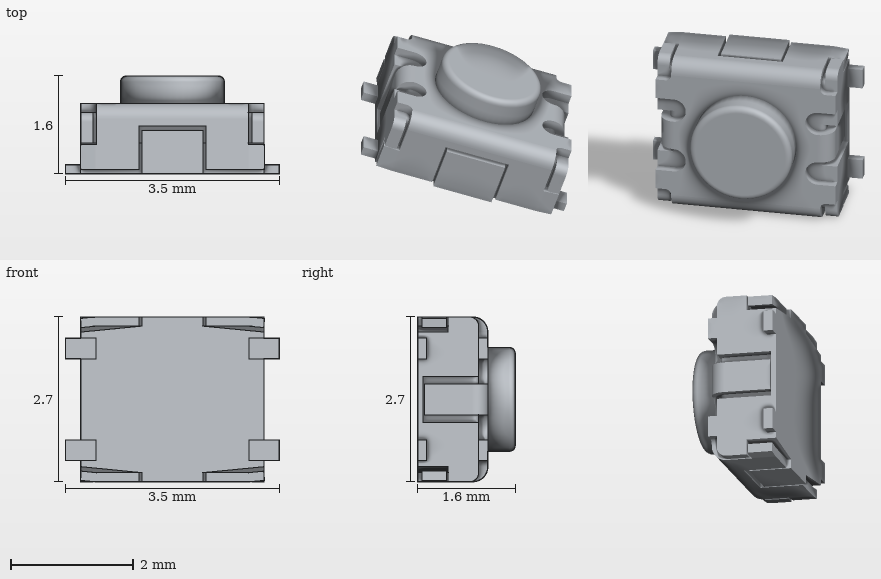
import cadquery as cq
import math

SIDES = (-1, 1)

half_length = 1.5
full_width = 2.7
half_width = full_width / 2
base_height = 1.0

sheet = 0.15
inner_bend = 0.098
outer_bend = inner_bend + sheet
plate_top = base_height + sheet
bend_y = base_height - inner_bend

flange_half_length = 1.242
flange_bottom = 0.07
flange_inner_z = half_width - sheet
flange_bend_z = half_width - outer_bend
window_half_length = 0.545
window_top = 0.785

ear_slope = 0.1
ear_angle = math.atan(ear_slope)
ear_top = 0.475
ear_length = 0.24

wing_inner_z = 0.66
wing_outer_z = 1.0
wing_corner_radius = flange_bend_z - wing_outer_z
tab_half_width = 0.252
tab_inset = 0.05
tab_face_x = half_length - tab_inset
tab_bottom = 0.115
tab_bend_x = tab_face_x - outer_bend
relief_radius = (wing_inner_z - tab_half_width) / 2

corner_ledge_y = 0.5
corner_inner_x = 1.3
corner_round = 0.15
lug_half_length = 0.5
lug_top = 0.707
recess_half_width = 0.375
recess_bottom = 0.09
recess_floor_x = tab_face_x - sheet

button_radius = 0.85
button_top = 1.6
button_round = 0.098

terminal_end_x = 1.75
terminal_length = 0.5
terminal_thickness = 0.15
terminal_inner_z = 0.66
terminal_width = 0.34


def block(x_min, x_max, y_min, y_max, z_min, z_max):
    """Rectangular block between the given limits."""
    size = (x_max - x_min, y_max - y_min, z_max - z_min)
    return cq.Workplane("XY").box(*size, centered=False).translate((x_min, y_min, z_min))


def centered_block(half_x, y_min, y_max, half_z):
    """Block symmetric about x = 0 and z = 0."""
    return block(-half_x, half_x, y_min, y_max, -half_z, half_z)


def upright(outline, y_min, y_max):
    """Extrude a closed outline drawn in (x, z) on the floor plane from y_min to y_max."""
    return outline.extrude(y_min - y_max).translate((0, y_min, 0))


def floor_plane():
    """XZ plane through the origin; its normal is -Y, so negative extrusions grow along +Y."""
    return cq.Workplane("XZ")


def mirrored_in_x(body):
    """The body together with its mirror image across x = 0."""
    return body.union(body.mirror("YZ"))


def mirrored_in_x_and_z(body):
    """The body together with its mirror images across x = 0 and z = 0."""
    both_ends = mirrored_in_x(body)
    return both_ends.union(both_ends.mirror("XY"))


def make_base():
    """Molded base with its terminal recesses still uncut."""
    quarter_taper = [
        (0, 0),
        (half_length, 0),
        (half_length, flange_bend_z),
        (lug_half_length, flange_inner_z),
        (0, flange_inner_z),
    ]
    taper = floor_plane().polyline(quarter_taper).close()
    base = mirrored_in_x_and_z(upright(taper, 0, corner_ledge_y))

    core = centered_block(corner_inner_x, corner_ledge_y, base_height, flange_inner_z)
    base = base.union(core.edges(">Y and |X").fillet(inner_bend))

    end_slab = block(corner_inner_x, half_length, corner_ledge_y, base_height, -half_width, half_width)
    base = base.union(mirrored_in_x(end_slab.edges(">Y and |X").fillet(corner_round)))

    base = base.union(centered_block(lug_half_length, 0, lug_top, half_width))

    recess = (
        cq.Workplane("XY")
        .moveTo(half_length, recess_bottom)
        .lineTo(recess_floor_x, recess_bottom)
        .lineTo(recess_floor_x, bend_y)
        .radiusArc((tab_bend_x, base_height), -inner_bend)
        .lineTo(half_length, base_height)
        .close()
        .extrude(recess_half_width, both=True)
    )
    return base.cut(mirrored_in_x(recess))


def make_folded_sheet():
    """Plate with a flange bent down on each side and a window in each flange."""
    outside = centered_block(flange_half_length, flange_bottom, plate_top, half_width)
    outside = outside.edges(">Y and |X").fillet(outer_bend)
    inside = centered_block(flange_half_length, flange_bottom, base_height, flange_inner_z)
    inside = inside.edges(">Y and |X").fillet(inner_bend)
    window = centered_block(window_half_length, flange_bottom, window_top, half_width)
    return outside.cut(inside).cut(window)


def make_wing():
    """Plate wing that reaches the end of the base, with a round inner corner at the flange."""
    wing = block(flange_half_length, half_length, base_height, plate_top, 0, wing_outer_z)
    corner_x = flange_half_length + wing_corner_radius
    corner = block(flange_half_length, corner_x, base_height, plate_top, wing_outer_z, flange_bend_z)
    rounding = floor_plane().center(corner_x, flange_bend_z).circle(wing_corner_radius)
    return wing.union(corner.cut(upright(rounding, base_height, plate_top)))


def make_relief():
    """Cutter for the +X, +Z quarter: a round-ended slot beside the tab and half the tab's own strip."""
    slot = (
        floor_plane()
        .moveTo(half_length, 0)
        .lineTo(tab_bend_x, 0)
        .lineTo(tab_bend_x, tab_half_width)
        .radiusArc((tab_bend_x, wing_inner_z), relief_radius)
        .lineTo(half_length, wing_inner_z)
        .close()
    )
    return upright(slot, base_height, plate_top)


def make_tab():
    """End tab bent down from the plate into the base recess."""
    profile = (
        cq.Workplane("XY")
        .moveTo(tab_bend_x, base_height)
        .radiusArc((recess_floor_x, bend_y), inner_bend)
        .lineTo(recess_floor_x, tab_bottom)
        .lineTo(tab_face_x, tab_bottom)
        .lineTo(tab_face_x, bend_y)
        .radiusArc((tab_bend_x, plate_top), -outer_bend)
        .close()
    )
    return profile.extrude(tab_half_width, both=True)


def make_ear():
    """Flange extension bent inward about an axis parallel to Y."""
    lean_x = math.sin(ear_angle)
    lean_z = math.cos(ear_angle)

    def ear_point(radius, reach=0.0):
        x = flange_half_length + radius * lean_x + reach * lean_z
        z = flange_bend_z + radius * lean_z - reach * lean_x
        return x, z

    outline = (
        floor_plane()
        .moveTo(flange_half_length, flange_inner_z)
        .lineTo(flange_half_length, half_width)
        .radiusArc(ear_point(outer_bend), outer_bend)
        .lineTo(*ear_point(outer_bend, ear_length))
        .lineTo(*ear_point(inner_bend, ear_length))
        .lineTo(*ear_point(inner_bend))
        .radiusArc((flange_half_length, flange_inner_z), -inner_bend)
        .close()
    )
    return upright(outline, flange_bottom, ear_top)


def make_button():
    """Round button standing on the plate."""
    button = upright(floor_plane().circle(button_radius), plate_top, button_top)
    return button.faces(">Y").edges().fillet(button_round)


def make_cover():
    """Folded cover carrying the button."""
    cover = make_folded_sheet().union(mirrored_in_x_and_z(make_wing()))
    cover = cover.cut(mirrored_in_x_and_z(make_relief()))
    cover = cover.union(mirrored_in_x(make_tab()))
    cover = cover.union(mirrored_in_x_and_z(make_ear()))
    return cover.union(make_button())


def make_terminal(x_side, z_side):
    """Flat terminal at one corner, flush with the base floor."""
    x_ends = sorted((x_side * terminal_end_x, x_side * (terminal_end_x - terminal_length)))
    z_ends = sorted((z_side * terminal_inner_z, z_side * (terminal_inner_z + terminal_width)))
    return block(*x_ends, 0, terminal_thickness, *z_ends)


terminals = [make_terminal(x_side, z_side) for x_side in SIDES for z_side in SIDES]

base = make_base()
for terminal in terminals:
    base = base.cut(terminal)

cover = make_cover()

result = cq.Compound.makeCompound(
    [base.val(), cover.val(), *[terminal.val() for terminal in terminals]]
)